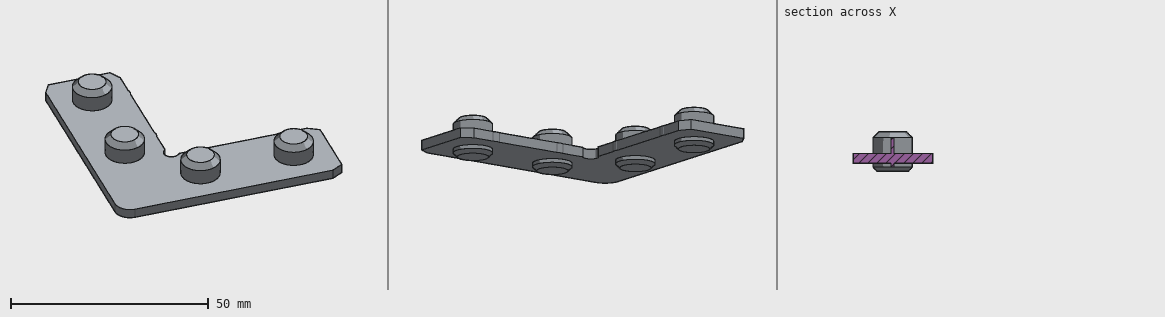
import cadquery as cq
import math

side = 60.0
arm_width = side / 3
thickness = 2.5
outer_corner_radius = 4.0
end_cut_length = 3.0
end_cut_angle = 30.0
end_cut_depth = end_cut_length * math.tan(math.radians(end_cut_angle))

relief_radius = 2.0
relief_offset = 1.1

bump_width = 2.0
bump_height = 0.2
bump_distances = (side / 6, side / 2)

peg_diameter = side / 6
peg_length = 10.0
peg_bottom_height = 2.0
peg_top_chamfer = 1.5
peg_bottom_chamfer = 1.0
peg_distances = (arm_width / 2, 35.0)

inner_x = side - arm_width
inner_y = arm_width


def make_plate():
    """L outline with cut arm ends, edge bumps, a rounded corner and a corner relief."""
    half_bump = bump_width / 2
    outline = (
        cq.Workplane("XY")
        .moveTo(end_cut_length, 0)
        .lineTo(side, 0)
        .lineTo(side, side - end_cut_length)
        .lineTo(side - end_cut_depth, side)
        .lineTo(inner_x + end_cut_depth, side)
        .lineTo(inner_x, side - end_cut_length)
    )
    for distance in bump_distances:
        y = side - distance
        outline = outline.lineTo(inner_x, y + half_bump).threePointArc(
            (inner_x - bump_height, y), (inner_x, y - half_bump)
        )
    outline = outline.lineTo(inner_x, inner_y)
    for x in reversed(bump_distances):
        outline = outline.lineTo(x + half_bump, inner_y).threePointArc(
            (x, inner_y + bump_height), (x - half_bump, inner_y)
        )
    plate = (
        outline.lineTo(end_cut_length, inner_y)
        .lineTo(0, inner_y - end_cut_depth)
        .lineTo(0, end_cut_depth)
        .close()
        .extrude(thickness)
    )
    plate = plate.edges(cq.selectors.NearestToPointSelector((side, 0, thickness / 2)))
    plate = plate.fillet(outer_corner_radius)
    relief = (
        cq.Workplane("XY")
        .center(inner_x - relief_offset, inner_y + relief_offset)
        .circle(relief_radius)
        .extrude(thickness)
    )
    return plate.cut(relief)


def make_peg(x, y):
    """Cylinder standing out on both faces of the plate, chamfered at both ends."""
    return (
        cq.Workplane("XY", origin=(x, y, -peg_bottom_height))
        .circle(peg_diameter / 2)
        .extrude(peg_length)
        .faces(">Z")
        .chamfer(peg_top_chamfer)
        .faces("<Z")
        .chamfer(peg_bottom_chamfer)
    )


result = make_plate()
for distance in peg_distances:
    result = result.union(make_peg(distance, arm_width / 2))
    result = result.union(make_peg(side - arm_width / 2, side - distance))